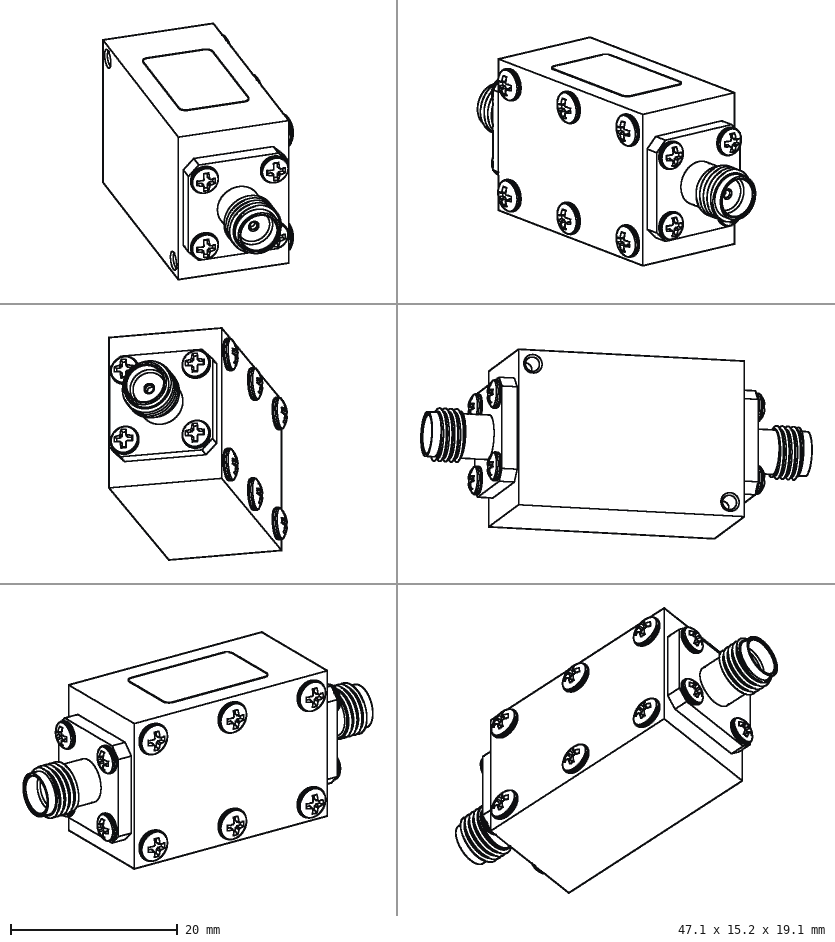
import cadquery as cq
import math

overall_length = 47.1
housing_length = 28.0
housing_depth = 14.0
housing_height = 19.02
cover_thickness = 1.22

label_length = 14.97
label_width = 8.8
label_corner_radius = 0.85
label_thickness = 0.1

mount_hole_end_inset = 1.8
mount_hole_edge_inset = 1.7
mount_hole_diameter = 1.75
mount_countersink_diameter = 2.25
mount_hole_depth = 3.75
drill_point_angle = 118.0

screw_head_height = 1.25
screw_rim_height = 0.6
screw_rim_chamfer_height = 0.2
screw_rim_chamfer_width = 0.1
cover_screw_diameter = 3.9
cover_screw_inset = 2.55
flange_screw_diameter = 3.45
flange_screw_pitch = 8.85
recess_depth = 0.65
recess_top_length = 2.8
recess_top_width = 0.75
recess_floor_length = 1.9
recess_floor_width = 0.45
recess_core_top_diameter = 1.22
recess_core_floor_diameter = 1.05

connector_length = (overall_length - housing_length) / 2
flange_size = 12.7
flange_corner_chamfer = 1.3
flange_thickness = 1.9
barrel_diameter = 5.35
thread_start = 1.1
thread_end = 4.1
thread_root_diameter = 5.65
thread_crest_diameter = 6.4
thread_pitch = 0.7
thread_crest_offset = 1.4
thread_ridge_width = 0.6
thread_overlap = 0.1
socket_mouth_diameter = 4.9
socket_diameter = 4.6
socket_floor_diameter = 4.0
socket_mouth_depth = 0.15
socket_straight_depth = 1.8
socket_depth = 2.02
contact_mouth_diameter = 1.25
contact_bore_diameter = 0.95
contact_depth = 0.95


def make_housing():
    """Box and cover, keeping the joint line between them."""
    box_depth = housing_depth - cover_thickness
    joint_y = housing_depth / 2 - cover_thickness
    box = cq.Workplane("XY").box(housing_length, box_depth, housing_height)
    box = box.translate((0, joint_y - box_depth / 2, 0))
    cover = cq.Workplane("XY").box(housing_length, cover_thickness, housing_height)
    cover = cover.translate((0, joint_y + cover_thickness / 2, 0))
    return box.union(cover, clean=False)


def make_label():
    """Thin rounded plate standing on the top face."""
    plate = cq.Workplane("XY").workplane(offset=housing_height / 2)
    plate = plate.rect(label_length, label_width).extrude(label_thickness)
    return plate.edges("|Z").fillet(label_corner_radius)


def make_mount_hole():
    """Countersunk blind hole with a drill point, running along +Z from the origin."""
    radius = mount_hole_diameter / 2
    sink_radius = mount_countersink_diameter / 2
    point_depth = radius / math.tan(math.radians(drill_point_angle / 2))
    profile = (
        cq.Workplane("XZ")
        .lineTo(sink_radius, 0)
        .lineTo(radius, sink_radius - radius)
        .lineTo(radius, mount_hole_depth)
        .lineTo(0, mount_hole_depth + point_depth)
        .close()
    )
    return profile.revolve(360, (0, 0, 0), (0, 1, 0))


def make_screw(diameter):
    """Screw head standing on the XY plane: bevelled rim, dome and tapered cross recess."""
    radius = diameter / 2
    dome_rise = screw_head_height - screw_rim_height
    dome_radius = radius - screw_rim_chamfer_width
    sphere_radius = (dome_radius**2 + dome_rise**2) / (2 * dome_rise)
    mid_radius = dome_radius / 2
    mid_height = screw_head_height - sphere_radius + math.sqrt(sphere_radius**2 - mid_radius**2)
    head = (
        cq.Workplane("XZ")
        .lineTo(dome_radius, 0)
        .lineTo(radius, screw_rim_chamfer_height)
        .lineTo(radius, screw_rim_height - screw_rim_chamfer_height)
        .lineTo(dome_radius, screw_rim_height)
        .threePointArc((mid_radius, mid_height), (0, screw_head_height))
        .close()
        .revolve(360, (0, 0, 0), (0, 1, 0))
    )
    floor = cq.Workplane("XY").workplane(offset=screw_head_height - recess_depth)
    slot = (
        floor.rect(recess_floor_length, recess_floor_width)
        .workplane(offset=recess_depth)
        .rect(recess_top_length, recess_top_width)
        .loft()
    )
    core = (
        floor.circle(recess_core_floor_diameter / 2)
        .workplane(offset=recess_depth)
        .circle(recess_core_top_diameter / 2)
        .loft()
    )
    crossing_slot = slot.rotate((0, 0, 0), (0, 0, 1), 90)
    return head.cut(slot).cut(crossing_slot).cut(core)


def make_thread():
    """Threaded sleeve: a core with one right-handed helical ridge, cut square at both ends."""
    crest_radius = thread_crest_diameter / 2
    root_radius = thread_root_diameter / 2
    inner_radius = root_radius - thread_overlap
    turns = math.ceil((thread_end - thread_start) / thread_pitch) + 1
    last_crest = connector_length - thread_crest_offset + thread_pitch
    helix_base = last_crest - turns * thread_pitch
    helix = cq.Wire.makeHelix(thread_pitch, turns * thread_pitch, root_radius)
    half_width = thread_ridge_width / 2
    ridge = (
        cq.Workplane("XZ")
        .moveTo(inner_radius, -half_width)
        .lineTo(crest_radius, 0)
        .lineTo(inner_radius, half_width)
        .close()
        .sweep(cq.Workplane(obj=helix), isFrenet=True)
        .translate((0, 0, helix_base))
    )
    core = cq.Workplane("XY").circle(root_radius).extrude(connector_length)
    sleeve = cq.Workplane("XY").workplane(offset=connector_length - thread_end)
    sleeve = sleeve.circle(thread_crest_diameter / 2 + thread_overlap).extrude(thread_end - thread_start)
    return core.union(ridge).intersect(sleeve)


def make_socket():
    """Stepped round cavity sunk into the barrel tip."""
    tip = connector_length
    floor = tip - socket_depth
    contact_lead = (contact_mouth_diameter - contact_bore_diameter) / 2
    profile = (
        cq.Workplane("XZ")
        .moveTo(0, tip)
        .lineTo(socket_mouth_diameter / 2, tip)
        .lineTo(socket_diameter / 2, tip - socket_mouth_depth)
        .lineTo(socket_diameter / 2, tip - socket_straight_depth)
        .lineTo(socket_floor_diameter / 2, floor)
        .lineTo(contact_mouth_diameter / 2, floor)
        .lineTo(contact_bore_diameter / 2, floor - contact_lead)
        .lineTo(contact_bore_diameter / 2, floor - contact_depth)
        .lineTo(0, floor - contact_depth)
        .close()
    )
    return profile.revolve(360, (0, 0, 0), (0, 1, 0))


def make_connector():
    """Connector standing on the XY plane and pointing along +Z."""
    flange = cq.Workplane("XY").rect(flange_size, flange_size).extrude(flange_thickness)
    flange = flange.edges("|Z").chamfer(flange_corner_chamfer)
    barrel = cq.Workplane("XY").circle(barrel_diameter / 2).extrude(connector_length)
    connector = flange.union(barrel).union(make_thread()).cut(make_socket())
    screw = make_screw(flange_screw_diameter)
    half_pitch = flange_screw_pitch / 2
    for x in (-half_pitch, half_pitch):
        for y in (-half_pitch, half_pitch):
            connector = connector.union(screw.translate((x, y, flange_thickness)))
    return connector


result = make_housing().union(make_label(), clean=False)
mount_hole = make_mount_hole().rotate((0, 0, 0), (1, 0, 0), -90)
mount_x = housing_length / 2 - mount_hole_end_inset
mount_z = housing_height / 2 - mount_hole_edge_inset
for side in (-1, 1):
    place = (side * mount_x, -housing_depth / 2, -side * mount_z)
    result = result.cut(mount_hole.translate(place), clean=False)

cover_screw = make_screw(cover_screw_diameter).rotate((0, 0, 0), (1, 0, 0), -90)
cover_screw_x = housing_length / 2 - cover_screw_inset
cover_screw_z = housing_height / 2 - cover_screw_inset
for x in (-cover_screw_x, 0, cover_screw_x):
    for z in (-cover_screw_z, cover_screw_z):
        result = result.union(cover_screw.translate((x, housing_depth / 2, z)), clean=False)

connector = make_connector()
for side in (-1, 1):
    turned = connector.rotate((0, 0, 0), (0, 1, 0), side * 90)
    result = result.union(turned.translate((side * housing_length / 2, 0, 0)), clean=False)

result = cq.Workplane(result.solids().val())